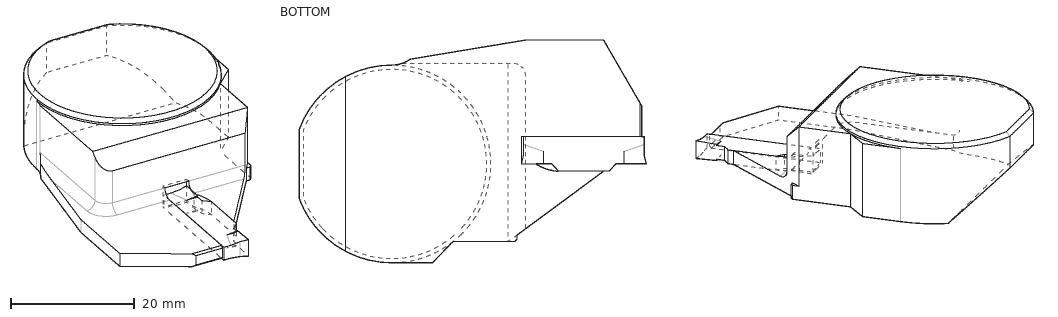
import cadquery as cq
import math


disc_radius = 16.0
disc_height = 13.7
disc_chamfer = 0.7
flat_x = -15.0
underside_bevel = 7.5

block_height = 12.7
block_end_x = 21.6
block_front_y = -16.25
block_back_y = 12.55
block_top_bevel = 2.8
block_corner_radius = 2.1
base_fillet = 1.5

blade_thickness = 2.4
blade_end_x = 40.4
blade_front_y = -20.0
blade_end_bevel = 0.35
flank_end = (3.0, -16.95)
front_edge_x = (21.55, 34.2)
end_corner_y = -9.35
tab_corner_x = 6.55
tab_foot_x = 9.9
finger_tip_x = 34.2
slope_top_x = block_end_x - block_top_bevel

lug_end_x = 20.25
lug_bevel = 0.4

insert_center_x = 31.0
insert_half_length = 10.1
insert_end_relief = 0.35
relief_depth = 1.4
insert_bottom_y = -4.45
hump_height = 1.2
hump_top_half = 4.1
hump_foot_half = 5.15
gap_start_x = 23.3
gap_middle = (24.9, 0.8)

tip_inner_half = 6.5
tip_inner_depth = 2.0
tip_outer_depth = 3.25
tip_slope = 0.11

clearance = 11.2
margin = 0.05


def make_holder_outline():
    """Full-height prism with the plan outline of tab, block and blade, up to the disc axis."""
    run, drop = flank_end[0], -disc_radius - flank_end[1]
    flank_radius = (run**2 + drop**2) / (2 * drop)
    half_angle = math.asin(run / flank_radius) / 2
    flank_middle = (
        flank_radius * math.sin(half_angle),
        -disc_radius - flank_radius * (1 - math.cos(half_angle)),
    )
    return (
        cq.Workplane("XY")
        .moveTo(0, disc_radius)
        .lineTo(tab_corner_x, disc_radius)
        .lineTo(tab_foot_x, block_back_y)
        .lineTo(slope_top_x, block_back_y)
        .lineTo(finger_tip_x, hump_height)
        .lineTo(blade_end_x, hump_height)
        .lineTo(blade_end_x, end_corner_y)
        .lineTo(front_edge_x[1], blade_front_y)
        .lineTo(front_edge_x[0], blade_front_y)
        .lineTo(*flank_end)
        .threePointArc(flank_middle, (0, -disc_radius))
        .close()
        .extrude(block_height)
    )


def make_block_and_blade():
    """Block on an oversize slab with its base fillet, trimmed to the outline."""
    block_back = disc_radius + clearance
    block = (
        cq.Workplane("XY")
        .box(disc_radius + block_end_x, block_back - block_front_y, block_height, centered=False)
        .translate((-disc_radius, block_front_y, 0))
        .edges("|Z and >X and <Y").fillet(block_corner_radius)
    )
    slab_size = 2 * (blade_end_x + clearance)
    slab = cq.Workplane("XY").box(slab_size, slab_size, blade_thickness, centered=(True, True, False))
    foot_edges = cq.selectors.BoxSelector(
        (-disc_radius + margin, block_front_y - margin, blade_thickness - margin),
        (block_end_x + margin, block_back - margin, blade_thickness + margin),
    )
    body = slab.union(block).edges(foot_edges).fillet(base_fillet)
    bevel_reach = 2 * block_top_bevel
    top_bevel = (
        cq.Workplane("XZ")
        .polyline([
            (slope_top_x, block_height),
            (slope_top_x + bevel_reach, block_height - bevel_reach),
            (slope_top_x + bevel_reach, block_height),
        ])
        .close()
        .extrude(slab_size, both=True)
    )
    trimmed = body.cut(top_bevel).intersect(make_holder_outline())
    return trimmed.faces(">X").edges("|Y").chamfer(blade_end_bevel)


def make_lug():
    """Small lug of blade thickness beside the sloping back edge."""
    slope = (block_back_y - hump_height) / (finger_tip_x - slope_top_x)
    foot_y = block_back_y - slope * (lug_end_x - slope_top_x)
    return (
        cq.Workplane("XY")
        .polyline([
            (slope_top_x, block_back_y),
            (lug_end_x - lug_bevel, block_back_y),
            (lug_end_x, block_back_y - lug_bevel),
            (lug_end_x, foot_y),
            (slope_top_x, foot_y),
        ])
        .close()
        .extrude(blade_thickness)
    )


def make_disc():
    """Disc with a chamfered top rim and a flat on the -X side."""
    length = disc_radius - flat_x
    keep = (
        cq.Workplane("XY")
        .box(length, 2 * disc_radius, disc_height, centered=(False, True, False))
        .translate((flat_x, 0, 0))
    )
    disc = cq.Workplane("XY").circle(disc_radius).extrude(disc_height)
    return disc.intersect(keep).faces(">Z").edges().chamfer(disc_chamfer)


def make_underside_bevel():
    """Wedge removed under the flat, across the whole holder."""
    return (
        cq.Workplane("XZ")
        .polyline([
            (flat_x - clearance, underside_bevel + clearance),
            (flat_x + underside_bevel, 0),
            (flat_x - clearance, 0),
        ])
        .close()
        .extrude(2 * disc_radius, both=True)
    )


def make_insert_pocket():
    """Seat for the insert, open at the blade end and above the insert."""
    left_x = insert_center_x - insert_half_length
    right_x = blade_end_x + clearance
    return (
        cq.Workplane("XY")
        .moveTo(left_x, insert_bottom_y)
        .lineTo(right_x, insert_bottom_y)
        .lineTo(right_x, hump_height)
        .lineTo(insert_center_x - hump_top_half, hump_height)
        .threePointArc(gap_middle, (gap_start_x, 0))
        .lineTo(left_x, 0)
        .close()
        .extrude(blade_thickness + base_fillet)
    )


def make_holder():
    body = make_block_and_blade().union(make_lug()).union(make_disc())
    return body.cut(make_underside_bevel()).cut(make_insert_pocket())


def make_insert_tip():
    """+X tip whose two side faces spread toward the cutting corner."""
    inner_x = insert_center_x + tip_inner_half
    outer_x = insert_center_x + insert_half_length
    relieved_x = outer_x - insert_end_relief
    middle_z = blade_thickness / 2
    run = outer_x - inner_x
    fall = tip_outer_depth - tip_inner_depth
    start_plane = cq.Plane(
        origin=(inner_x, -tip_inner_depth, middle_z),
        xDir=(fall, run, 0),
        normal=(run, -fall, 0),
    )
    reach = 2 * tip_outer_depth
    wide = middle_z + tip_slope * reach
    bar = (
        cq.Workplane(start_plane)
        .polyline([(0, -middle_z), (reach, -wide), (reach, wide), (0, middle_z)])
        .close()
        .extrude(2 * run, both=True)
    )
    plan = (
        cq.Workplane("XY", origin=(0, 0, middle_z))
        .polyline([
            (inner_x, 0),
            (outer_x, 0),
            (relieved_x, -relief_depth),
            (relieved_x, -tip_outer_depth),
            (inner_x, -tip_inner_depth),
        ])
        .close()
        .extrude(blade_thickness, both=True)
    )
    return bar.intersect(plan)


def make_insert():
    """Double-ended insert with a central hump on its upper edge."""
    end = insert_half_length
    relieved = end - insert_end_relief
    half_outline = [
        (hump_top_half, hump_height),
        (hump_foot_half, 0),
        (end, 0),
        (relieved, -relief_depth),
        (relieved, insert_bottom_y),
    ]
    mirrored = [(-x, y) for x, y in reversed(half_outline)]
    body = (
        cq.Workplane("XY", origin=(insert_center_x, 0, 0))
        .polyline(half_outline + mirrored)
        .close()
        .extrude(blade_thickness)
    )
    tip = make_insert_tip()
    return body.union(tip).union(tip.mirror("YZ", (insert_center_x, 0, 0)))


holder = make_holder()
insert = make_insert()

result = cq.Compound.makeCompound([holder.val(), insert.val()])